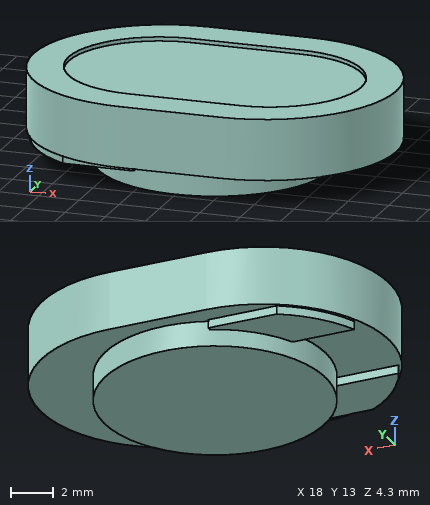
import cadquery as cq

body_length = 18.0
body_width = 13.0
body_height = 3.0

recess_length = 14.5
recess_width = 9.0
recess_depth = 0.2

boss_diameter = 11.45
boss_height = 1.3

tab_thickness = 0.43
tab_edge_inset = 0.16
tab_inner_y = 2.52
tab_outer_y = 5.49
tab_end_x = -2.15


def oval(length, width, height, base_z):
    """Solid with straight sides along X and full-round ends."""
    return cq.Workplane("XY").workplane(offset=base_z).slot2D(length, width).extrude(height)


def tab(side):
    """Tab on the +Y (side = 1) or -Y (side = -1) half, its outer end following the body's round end."""
    tab_length = body_length / 2 + tab_end_x
    tab_width = tab_outer_y - tab_inner_y
    center_x = tab_end_x - tab_length / 2
    center_y = side * (tab_inner_y + tab_outer_y) / 2
    block = (
        cq.Workplane("XY")
        .center(center_x, center_y)
        .rect(tab_length, tab_width)
        .extrude(-tab_thickness)
    )
    limit = oval(
        body_length - 2 * tab_edge_inset,
        body_width - 2 * tab_edge_inset,
        tab_thickness,
        -tab_thickness,
    )
    return block.intersect(limit)


body = oval(body_length, body_width, body_height, 0)
recess = oval(recess_length, recess_width, recess_depth, body_height - recess_depth)
boss = cq.Workplane("XY").circle(boss_diameter / 2).extrude(-boss_height)

result = body.cut(recess).union(boss)
for side in (-1, 1):
    result = result.union(tab(side))